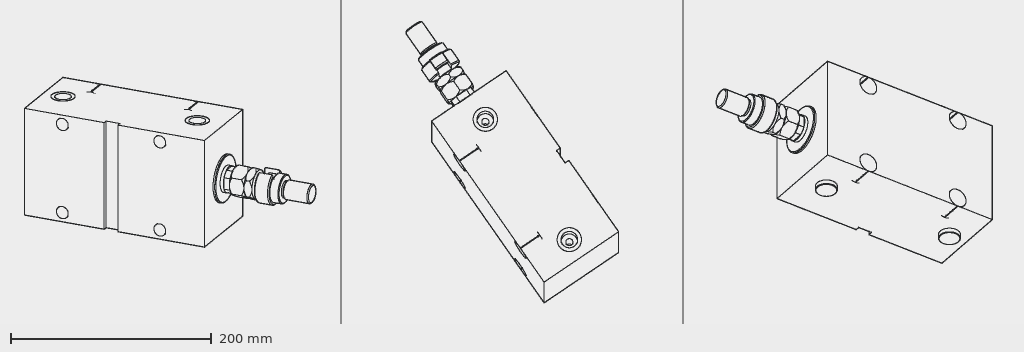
import cadquery as cq
import math

total_length = 295.5

block_length = 198.0
block_width = 90.0
block_height = 115.0
half_width = block_width / 2
half_height = block_height / 2

groove_start = 87.8
groove_width = 15.0
groove_depth = 4.5

bolt_xs = (41.7, 149.0)
bolt_radius = 6.5
bolt_head_radius = 10.0
bolt_head_depth = 23.3
bolt_breakout = 0.005
bolt_z = half_height - bolt_head_radius + bolt_breakout

port_xs = (21.3, 169.0)
port_radius = 8.3
port_depth = 14.0
port_seat_radius = 12.0
port_seat_depth = 0.3
pilot_radius = 3.5
plug_radius = 11.0
plug_height = 5.0
plug_chamfer = 0.5

gland_radius = 24.8
gland_thickness = 2.7
gland_chamfer = 1.0

rod_radius = 14.0
rod_tip_radius = 13.5
rod_start = 10.3
rod_shoulder = block_length + 6.2
rod_end = block_length + 13.3
rod_across_flats = 24.2

hex_across_flats = 29.8
hex_corner_radius = hex_across_flats / 2 / math.cos(math.pi / 6)
hex_end_radius = hex_across_flats / 2
hex_chamfer_length = 2.7
hex_split = block_length + 29.3
hex_end = block_length + 38.0
collar_radius = 7.7
collar_end = hex_end + 1.8
neck_radius = 7.0
head_radius = 13.5
head_start = block_length + 47.3
head_end = block_length + 58.0
head_chamfer = 1.5

claw_radius = 18.0
claw_start = block_length + 41.7
claw_shoulder = block_length + 58.0
claw_chamfer = 1.2
hub_radius = 15.0
hub_end = block_length + 67.7
hub_chamfer = 1.0
relief_radius = 9.0
relief_end = hub_end + 1.8
stud_radius = 10.0
stud_chamfer = 1.2
slot_width = 14.8
pocket_end = head_end + 1.0


def turned(profile):
    """Revolve an (x, radius) profile about the X axis."""
    return cq.Workplane("XZ").polyline(profile).close().revolve(360, (0, 0, 0), (1, 0, 0))


def cylinder_x(start, end, radius):
    return cq.Workplane("YZ").workplane(offset=start).circle(radius).extrude(end - start)


def cylinder_down(x, top, bottom, radius):
    return cq.Workplane("XY").workplane(offset=bottom).center(x, 0).circle(radius).extrude(top - bottom)


def cylinder_y(x, z, start, end, radius):
    axis = cq.Vector(0, 1, 0)
    return cq.Workplane(cq.Solid.makeCylinder(radius, end - start, cq.Vector(x, start, z), axis))


def make_housing():
    body = cq.Workplane("XY").box(block_length, block_width, block_height, centered=(False, True, True))
    groove = cq.Workplane("XY").box(groove_width, groove_depth, block_height, centered=(False, False, True))
    body = body.cut(groove.translate((groove_start, -half_width, 0)))
    for x in bolt_xs:
        for z in (-bolt_z, bolt_z):
            body = body.cut(cylinder_y(x, z, -half_width, half_width, bolt_radius))
            body = body.cut(cylinder_y(x, z, half_width - bolt_head_depth, half_width, bolt_head_radius))
    for x in port_xs:
        body = body.cut(cylinder_down(x, half_height, half_height - port_seat_depth, port_seat_radius))
        body = body.cut(cylinder_down(x, half_height, half_height - port_depth, port_radius))
        body = body.cut(cylinder_down(x, half_height, 0, pilot_radius))
    return body.cut(cylinder_x(rod_start, block_length, rod_radius))


def make_plug(x):
    plug = cylinder_down(x, -half_height, -half_height - plug_height, plug_radius)
    return plug.faces("<Z").chamfer(plug_chamfer)


def make_gland():
    gland = cylinder_x(block_length, block_length + gland_thickness, gland_radius)
    gland = gland.faces(">X").chamfer(gland_chamfer)
    return gland.cut(cylinder_x(block_length, block_length + gland_thickness, rod_radius))


def make_rod():
    """Round rod whose front end has four wrench flats."""
    body = cylinder_x(rod_start, rod_shoulder, rod_radius)
    body = body.union(cylinder_x(rod_start, rod_end, rod_tip_radius))
    flats = cq.Workplane("YZ").workplane(offset=rod_shoulder)
    flats = flats.rect(block_width, block_width).rect(rod_across_flats, rod_across_flats)
    return body.cut(flats.extrude(rod_end - rod_shoulder))


def make_hexagon(start, end):
    """Hexagon with corners at +Z and -Z, chamfered at both ends."""
    prism = cq.Workplane("YZ").workplane(offset=start).polygon(6, 2 * hex_corner_radius).extrude(end - start)
    prism = prism.rotate((0, 0, 0), (1, 0, 0), 90)
    envelope = turned([
        (start, 0),
        (start, hex_end_radius),
        (start + hex_chamfer_length, hex_corner_radius),
        (end - hex_chamfer_length, hex_corner_radius),
        (end, hex_end_radius),
        (end, 0),
    ])
    return prism.intersect(envelope)


def make_joint():
    shank = turned([
        (hex_end, 0),
        (hex_end, collar_radius),
        (collar_end, collar_radius),
        (collar_end, neck_radius),
        (head_start, neck_radius),
        (head_start, head_radius - head_chamfer),
        (head_start + head_chamfer, head_radius),
        (head_end, head_radius),
        (head_end, 0),
    ])
    return make_hexagon(rod_end, hex_split).union(make_hexagon(hex_split, hex_end)).union(shank)


def make_claw():
    body = turned([
        (claw_start, 0),
        (claw_start, claw_radius - claw_chamfer),
        (claw_start + claw_chamfer, claw_radius),
        (claw_shoulder - claw_chamfer, claw_radius),
        (claw_shoulder, claw_radius - claw_chamfer),
        (claw_shoulder, hub_radius),
        (hub_end - hub_chamfer, hub_radius),
        (hub_end, hub_radius - hub_chamfer),
        (hub_end, relief_radius),
        (relief_end, relief_radius),
        (relief_end + stud_chamfer, stud_radius),
        (total_length - stud_chamfer, stud_radius),
        (total_length, stud_radius - stud_chamfer),
        (total_length, 0),
    ])
    slot_length = pocket_end - claw_start
    slot = cq.Workplane("XY").box(slot_length, slot_width, claw_radius, centered=(False, True, False))
    body = body.cut(slot.translate((claw_start, 0, 0)))
    body = body.cut(cylinder_x(claw_start, pocket_end, slot_width / 2))
    return body.cut(cylinder_x(head_start, pocket_end, head_radius))


housing = make_housing()
plugs = [make_plug(x) for x in port_xs]
gland = make_gland()
rod = make_rod()
joint = make_joint()
claw = make_claw()

result = cq.Compound.makeCompound([
    housing.val(),
    *[plug.val() for plug in plugs],
    gland.val(),
    rod.val(),
    joint.val(),
    claw.val(),
])